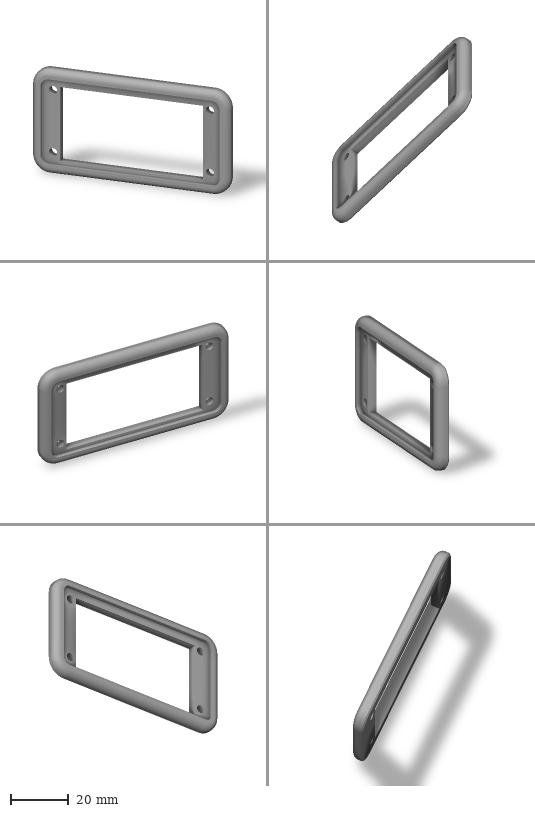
import cadquery as cq

width = 73.2
height = 38.6
thickness = 4.6
corner_radius = 6.5
front_fillet = 2.5
back_chamfer = 0.6

recess_inset = 3.5
recess_depth = 1.5

window_width = 53.0
window_height = 27.5
window_center_z = -0.8

hole_diameter = 3.0
hole_spacing_x = 58.0
hole_spacing_z = 23.0



def rounded_block(block_width, block_height, depth, radius):
    """Rounded rectangle running back from the front face by depth."""
    return (
        cq.Workplane("XZ")
        .rect(block_width, block_height)
        .extrude(-depth)
        .edges("|Y")
        .fillet(radius)
    )


def make_body():
    """Rounded plate with a soft front rim and a small chamfer at the back."""
    plate = rounded_block(width, height, thickness, corner_radius)
    plate = plate.faces("<Y").edges().fillet(front_fillet)
    return plate.faces(">Y").edges().chamfer(back_chamfer)


def make_recess():
    """Shallow pocket whose corners are concentric with the frame corners."""
    return rounded_block(
        width - 2 * recess_inset,
        height - 2 * recess_inset,
        recess_depth,
        corner_radius - recess_inset,
    )


def make_window():
    """Rectangular opening through the full thickness."""
    return (
        cq.Workplane("XZ")
        .center(0, window_center_z)
        .rect(window_width, window_height)
        .extrude(-thickness)
    )


def make_screw_holes():
    """Four through holes on a rectangular pattern."""
    return (
        cq.Workplane("XZ")
        .rect(hole_spacing_x, hole_spacing_z, forConstruction=True)
        .vertices()
        .circle(hole_diameter / 2)
        .extrude(-thickness)
    )


result = make_body().cut(make_recess()).cut(make_window()).cut(make_screw_holes())